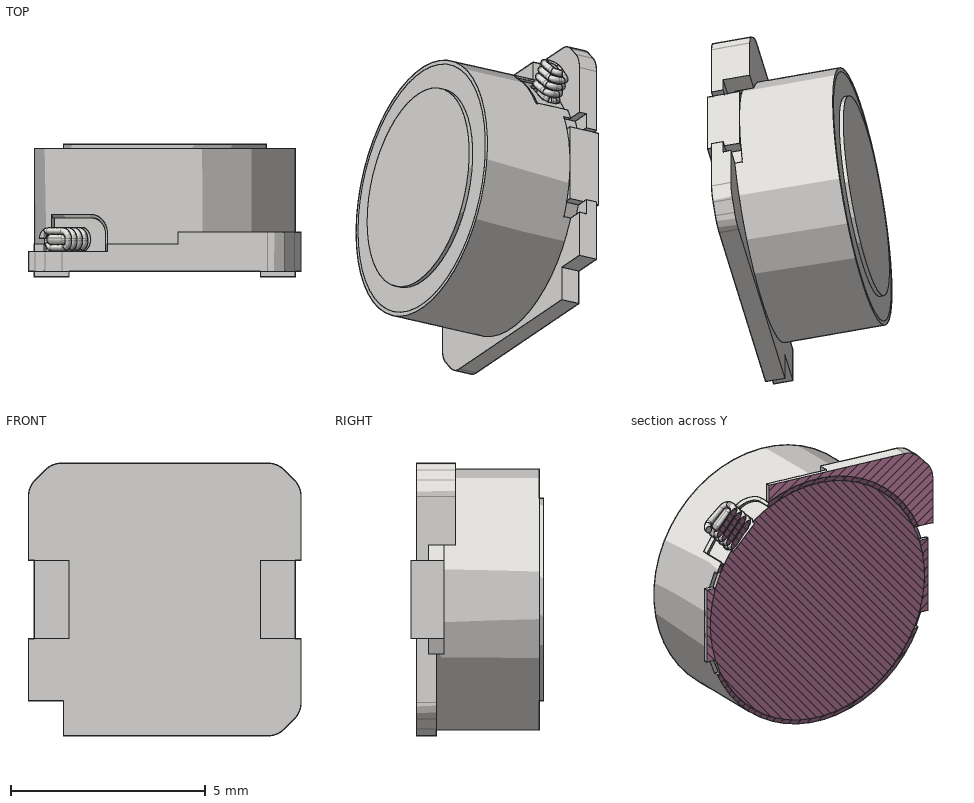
import cadquery as cq
import math


base_side = 7.0
base_back = 0.51
corner_chamfer = 0.61
corner_round = 0.61
corner_notch = 0.9
pocket_floor = 0.31
low_wall_back = 0.71
high_wall_back = 1.01
low_wall_left = -1.48
high_wall_left = 0.34

shield_radius = 3.35
core_radius = 3.25
shield_back = 3.16
disc_radius = 2.605
disc_back = 3.26

terminal_outer_x = shield_radius
terminal_width = 2.0
terminal_back = low_wall_back
foot_length = 0.9
foot_height = 0.14
web_thickness = 0.25
slot_width = 2.785

window_low_end = -0.87
window_high_end = 1.0
window_top = 1.365
window_round = 0.39
window_bevel_width = 0.1
window_bevel_depth = 0.05

wire_radius = 0.085
coil_half_length = 0.42
coil_half_height = 0.22
coil_bend = 0.19
coil_pitch = 0.195
coil_outer_end = 4.01
coil_half_turns = 8
coil_clearance = 0.01
coil_reach = wire_radius + coil_clearance
coil_centre_y = base_back + coil_half_height + coil_reach
coil_inner_end = coil_outer_end - coil_pitch * coil_half_turns / 2
bend_steps = 4

post_end_round = 0.085
post_end = 3.99

quarter_turn = math.pi / 2
half_side = base_side / 2
half_slot = slot_width / 2
half_terminal = terminal_width / 2

corner_frame = cq.Plane(origin=(0, 0, 0), xDir=(1, 0, 1), normal=(-1, 0, 1))


def box(x_range, y_range, z_range):
    low, high = zip(x_range, y_range, z_range)
    return cq.Workplane("XY").box(*(b - a for a, b in zip(low, high)), centered=False).translate(low)


def cylinder(radius, front, back):
    return cq.Workplane("XZ", origin=(0, front, 0)).circle(radius).extrude(front - back)


def on_both_sides(left_feature):
    return left_feature.union(left_feature.mirror("YZ"))


def at_corner(local_feature):
    return cq.Workplane(local_feature.val().moved(corner_frame.location))


def coil_offset_bar(offset, start):
    """Bar from a start level out to the post's end, shaped as the coil outline moved out by an offset."""
    return (
        cq.Workplane("XY", origin=(0, coil_centre_y, start))
        .rect(2 * (coil_half_length + offset), 2 * (coil_half_height + offset))
        .extrude(post_end - start)
        .edges("|Z")
        .fillet(coil_bend + offset)
    )


def make_base():
    inset = half_side - corner_chamfer
    notch = corner_notch - half_side
    chamfer_ends = [(-half_side, inset), (-inset, half_side), (inset, half_side)]
    chamfer_ends += [(half_side, inset), (half_side, -inset), (inset, -half_side)]
    notch_corners = [(notch, -half_side), (notch, notch), (-half_side, notch)]
    blank = cq.Workplane("XZ").polyline(chamfer_ends + notch_corners).close().extrude(-high_wall_back)
    for x, z in chamfer_ends:
        chamfer_edge = cq.selectors.NearestToPointSelector((x, high_wall_back / 2, z))
        blank = blank.edges(chamfer_edge).fillet(corner_round)

    plate_space = box((-half_side, half_side), (0, base_back), (-half_side, half_side))
    low_wall_space = box((low_wall_left, half_side), (0, low_wall_back), (half_slot, half_side))
    high_wall_space = box((high_wall_left, half_side), (0, high_wall_back), (half_slot, half_side))
    base = blank.intersect(plate_space.union(low_wall_space).union(high_wall_space))
    base = base.cut(cylinder(shield_radius, base_back, high_wall_back))
    base = base.cut(cylinder(core_radius, pocket_floor, high_wall_back))

    web_inner_x = terminal_outer_x - web_thickness
    web_notch = box((-half_side, -web_inner_x), (0, base_back), (-half_terminal, half_terminal))
    pocket_chord_x = math.sqrt(core_radius**2 - half_slot**2)
    wide_notch = box((-half_side, -pocket_chord_x), (pocket_floor, base_back), (-half_slot, half_slot))
    return base.cut(on_both_sides(web_notch)).cut(on_both_sides(wide_notch))


def make_core():
    body = cylinder(core_radius, pocket_floor, shield_back)
    disc = cylinder(disc_radius, shield_back, disc_back)
    seat = coil_offset_bar(coil_reach, coil_inner_end - coil_reach)
    post = coil_offset_bar(-coil_reach, 0)
    post = post.faces(">Z").edges().fillet(post_end_round)
    return body.union(disc).cut(at_corner(seat)).union(at_corner(post))


def make_shield():
    sleeve = cylinder(shield_radius, base_back, shield_back)
    sleeve = sleeve.cut(cylinder(core_radius, base_back, shield_back))
    window = (
        cq.Workplane("XY")
        .moveTo(window_low_end, 0)
        .lineTo(window_low_end, window_top)
        .lineTo(window_high_end - window_round, window_top)
        .radiusArc((window_high_end, window_top - window_round), window_round)
        .lineTo(window_high_end, 0)
        .close()
        .extrude(base_side)
    )
    sleeve = sleeve.cut(at_corner(window))
    slot = box((-half_side, 0), (0, terminal_back), (-half_slot, half_slot))
    window_middle = (window_low_end + window_high_end) / 2
    rim_middle = corner_frame.toWorldCoords((window_middle, window_top, shield_radius))
    rim = sleeve.edges(cq.selectors.NearestToPointSelector(rim_middle.toTuple()))
    return rim.chamfer(window_bevel_width, window_bevel_depth).cut(on_both_sides(slot))


def make_left_terminal():
    outer_x = -terminal_outer_x
    z_range = (-half_terminal, half_terminal)
    foot = box((outer_x, outer_x + foot_length), (-foot_height, 0), z_range)
    web = box((outer_x, outer_x + web_thickness), (-foot_height, terminal_back), z_range)
    return foot.union(web).cut(cylinder(core_radius, pocket_floor, shield_back))


def make_terminal(side):
    left = make_left_terminal()
    return left if side == "left" else left.mirror("YZ")


def make_coil():
    side = 2 * (coil_half_length - coil_bend)
    end_flat = 2 * (coil_half_height - coil_bend)
    bend_length = coil_bend * quarter_turn
    half_turn_length = side + end_flat + 2 * bend_length
    rise = -coil_pitch / (2 * half_turn_length)

    def slanted(heading):
        return cq.Vector(math.cos(heading), math.sin(heading), rise)

    def bend_point(start, heading, turned):
        forward = coil_bend * math.sin(turned)
        sideways = coil_bend * (1 - math.cos(turned))
        right = heading - quarter_turn
        x = forward * math.cos(heading) + sideways * math.cos(right)
        y = forward * math.sin(heading) + sideways * math.sin(right)
        return start + cq.Vector(x, y, rise * coil_bend * turned)

    start = cq.Vector(-coil_half_length, coil_centre_y + end_flat / 2, coil_outer_end)
    point = start
    heading = quarter_turn
    edges = []
    for straight in [side, end_flat] * coil_half_turns:
        bend = [bend_point(point, heading, quarter_turn * i / bend_steps) for i in range(bend_steps + 1)]
        tangents = [slanted(heading), slanted(heading - quarter_turn)]
        edges.append(cq.Edge.makeSpline(bend, tangents=tangents))
        heading -= quarter_turn
        point = bend[-1] + slanted(heading) * straight
        edges.append(cq.Edge.makeLine(bend[-1], point))

    path = cq.Workplane(cq.Wire.assembleEdges(edges))
    section = cq.Workplane(cq.Plane(origin=start, normal=slanted(quarter_turn))).circle(wire_radius)
    return at_corner(section.sweep(path))


base = make_base()
core = make_core()
shield = make_shield()
terminals = [make_terminal(side) for side in ("left", "right")]
coil = make_coil()

result = cq.Compound.makeCompound(
    [base.val(), core.val(), shield.val(), *[terminal.val() for terminal in terminals], coil.val()]
)